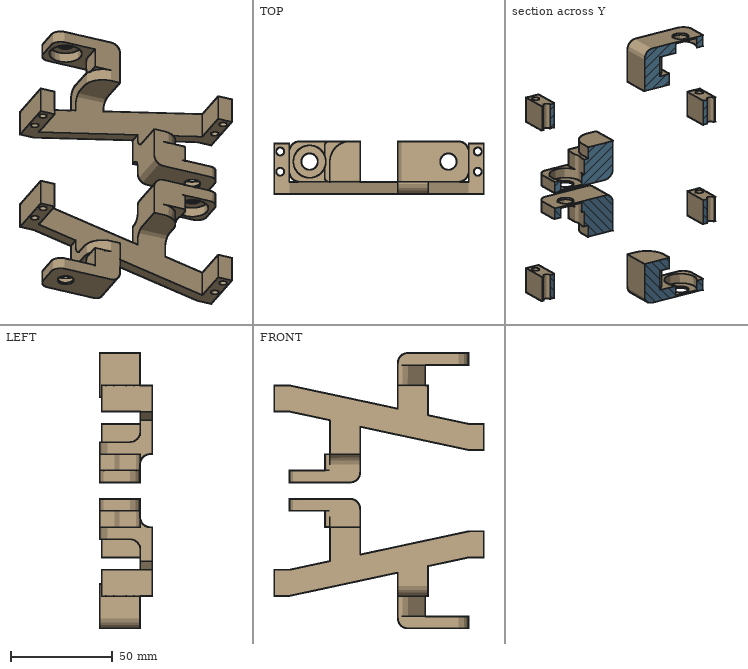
import cadquery as cq
import math

bracket_length = 103.5
bracket_depth = 26.0
bracket_gap = 8.0
bracket_height = 64.0
half_length = bracket_length / 2
center_z = (bracket_gap + bracket_height) / 2

beam_thickness = 6.0
block_length = 7.5
block_depth = 25.0
block_height = 13.0
block_shift = 9.5
mount_hole_diameter = 3.8
mount_hole_inset = 3.0
mount_hole_ys = (11.0, 21.0)

arm_reach = bracket_height / 2
plate_thickness = 6.0
plate_length = 35.0
plate_end_x = half_length - block_length
arm_width = 15.0
arm_inner_x = plate_end_x - plate_length
arm_outer_x = arm_inner_x + arm_width
plate_inner_reach = arm_reach - plate_thickness
shelf_thickness = 6.0
bend_radius = 5.0
shelf_corner_radius = 10.0
lower_shelf_reach = 18.0
upper_shelf_reach = 16.0

plate_width = bracket_depth - beam_thickness
pivot_x = plate_end_x - plate_width / 2
pivot_y = beam_thickness + plate_width / 2
pivot_hole_diameter = 8.0
seat_diameter = 16.0
seat_depth = 5.0

lower_web_overhang = 2.5
lower_web_end_x = arm_outer_x + lower_web_overhang
lower_web_corner_radius = 2.0

upper_web_front_width = 2.25
upper_web_back_width = 13.6
upper_web_front_radius = 5.0
upper_web_back_radius = 2.0
upper_web_slope_angle = 45.0


def box(x_range, y_range, z_range):
    """Axis-aligned box from its limits."""
    size = [high - low for low, high in (x_range, y_range, z_range)]
    corner = (x_range[0], y_range[0], z_range[0])
    return cq.Workplane("XY").box(*size, centered=False).translate(corner)


def upright_cylinder(x, y, z_low, z_high, diameter):
    """Vertical cylinder between two heights."""
    return cq.Workplane("XY", origin=(x, y, z_low)).circle(diameter / 2).extrude(z_high - z_low)


def make_bend_cylinder(y, z):
    """Cylinder along X, as wide as the arm, that shapes a bend."""
    return cq.Workplane("YZ", origin=(arm_inner_x, y, z)).circle(bend_radius).extrude(arm_width)


def make_beam():
    """Sloped beam, high on the left, with drilled blocks at both ends."""
    half_block = block_height / 2
    slope_x = half_length - block_length
    left_top = block_shift + half_block
    left_bottom = block_shift - half_block
    beam = (
        cq.Workplane("XZ")
        .polyline([
            (-half_length, left_top), (-slope_x, left_top),
            (slope_x, -left_bottom), (half_length, -left_bottom),
            (half_length, -left_top), (slope_x, -left_top),
            (-slope_x, left_bottom), (-half_length, left_bottom),
        ])
        .close()
        .extrude(-beam_thickness)
    )
    for side in (-1, 1):
        x_range = sorted((side * slope_x, side * half_length))
        z_range = (-side * block_shift - half_block, -side * block_shift + half_block)
        beam = beam.union(box(x_range, (0, block_depth), z_range))
        for hole_y in mount_hole_ys:
            hole_x = side * (half_length - mount_hole_inset)
            beam = beam.cut(upright_cylinder(hole_x, hole_y, *z_range, mount_hole_diameter))
    return beam


def make_leg_and_shelf(shelf_reach):
    """Leg rising in the beam plane and turning back into a shelf with a rounded corner."""
    shelf_inner = shelf_reach - shelf_thickness
    inner_bend_y = beam_thickness + bend_radius
    leg = box((arm_inner_x, arm_outer_x), (0, beam_thickness), (0, shelf_reach))
    shelf = (
        box((arm_inner_x, arm_outer_x), (0, bracket_depth), (shelf_inner, shelf_reach))
        .edges("|Z and >X and >Y")
        .fillet(shelf_corner_radius)
    )
    inner_bend = box(
        (arm_inner_x, arm_outer_x),
        (beam_thickness, inner_bend_y),
        (shelf_inner - bend_radius, shelf_inner),
    ).cut(make_bend_cylinder(inner_bend_y, shelf_inner - bend_radius))
    return leg.union(shelf).union(inner_bend)


def make_plate():
    """End plate with rounded free corners, before its bend and bearing seat are cut."""
    return (
        box((arm_inner_x, plate_end_x), (beam_thickness, bracket_depth), (plate_inner_reach, arm_reach))
        .edges("|Z and >X")
        .fillet(bend_radius)
    )


def finish_plate(arm, seat_start_reach):
    """Round the plate's bend, then cut the pivot hole and the bearing seat."""
    arm = arm.edges("|Y and <X and >Z").fillet(bend_radius)
    seat_floor = plate_inner_reach + seat_depth
    seat = upright_cylinder(pivot_x, pivot_y, seat_start_reach, seat_floor, seat_diameter)
    hole = upright_cylinder(pivot_x, pivot_y, plate_inner_reach, arm_reach, pivot_hole_diameter)
    return arm.cut(seat).cut(hole)


def make_lower_arm():
    """Arm with a solid web; a concave bend joins the leg's end to the web's front."""
    web = (
        box(
            (arm_inner_x, lower_web_end_x),
            (beam_thickness, bracket_depth),
            (lower_shelf_reach, plate_inner_reach),
        )
        .edges("|Z and >X")
        .fillet(lower_web_corner_radius)
    )
    bend_start_y = beam_thickness - bend_radius
    outer_bend = box(
        (arm_inner_x, arm_outer_x),
        (bend_start_y, beam_thickness),
        (lower_shelf_reach, lower_shelf_reach + bend_radius),
    ).cut(make_bend_cylinder(bend_start_y, lower_shelf_reach + bend_radius))
    block = finish_plate(web.union(make_plate()), lower_shelf_reach)
    return make_leg_and_shelf(lower_shelf_reach).union(outer_bend).union(block)


def make_upper_web():
    """Wall with a sloped, rounded side, narrow at the front and wide at the back."""
    slope = math.radians(upper_web_slope_angle)
    front_x = arm_inner_x + upper_web_front_width
    back_x = arm_inner_x + upper_web_back_width

    def arc_offset(radius, angle):
        """X and Y travelled along an arc that starts along X and turns toward Y."""
        return radius * math.sin(angle), radius * (1 - math.cos(angle))

    def front_arc(angle):
        offset_x, offset_y = arc_offset(upper_web_front_radius, angle)
        return front_x + offset_x, beam_thickness + offset_y

    back_turn = math.pi / 2 - slope
    back_arc_y, back_arc_x = arc_offset(upper_web_back_radius, back_turn)
    slope_start = front_arc(slope)
    slope_end_x = back_x - back_arc_x
    slope_end_y = slope_start[1] + (slope_end_x - slope_start[0]) * math.tan(slope)
    back_arc_end_y = slope_end_y + back_arc_y
    half_arc_y, half_arc_x = arc_offset(upper_web_back_radius, back_turn / 2)
    back_arc_mid = (back_x - half_arc_x, back_arc_end_y - half_arc_y)
    return (
        cq.Workplane("XY", origin=(0, 0, upper_shelf_reach))
        .moveTo(arm_inner_x, beam_thickness)
        .lineTo(front_x, beam_thickness)
        .threePointArc(front_arc(slope / 2), slope_start)
        .lineTo(slope_end_x, slope_end_y)
        .threePointArc(back_arc_mid, (back_x, back_arc_end_y))
        .lineTo(back_x, bracket_depth)
        .lineTo(arm_inner_x, bracket_depth)
        .close()
        .extrude(plate_inner_reach - upper_shelf_reach)
    )


def make_upper_arm():
    """Arm with an open-fronted web; the leg bends over the front of the shelf."""
    leg_and_shelf = make_leg_and_shelf(upper_shelf_reach).edges("|X and <Y and >Z").fillet(bend_radius)
    block = finish_plate(make_upper_web().union(make_plate()), plate_inner_reach)
    return leg_and_shelf.union(block)


def make_bracket():
    """Beam with one arm up on the right and one arm down on the left."""
    lower_arm = make_lower_arm().rotate((0, 0, 0), (0, 1, 0), 180)
    bracket = make_beam().union(make_upper_arm()).union(lower_arm)
    return bracket.translate((0, 0, center_z))


upper_bracket = make_bracket()
lower_bracket = upper_bracket.mirror("XY")

result = cq.Compound.makeCompound([upper_bracket.val(), lower_bracket.val()])